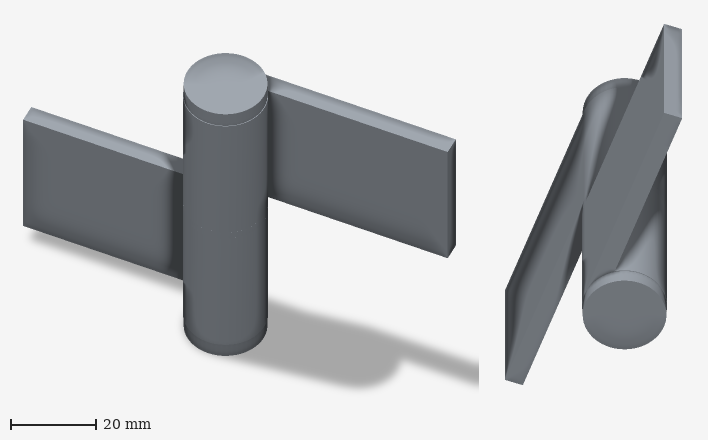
import cadquery as cq

leaf_span = 110.0
barrel_diameter = 20.0
cap_diameter = 19.7
leaf_thickness = 4.5
leaf_height = 36.5
washer_height = 2.1
cap_height = 4.0

barrel_radius = barrel_diameter / 2
leaf_reach = leaf_span / 2
upper_base = washer_height / 2
lower_base = -upper_base - leaf_height
top_cap_base = upper_base + leaf_height
bottom_cap_base = lower_base - cap_height


def make_disc(diameter, height, base):
    """Cylinder on the hinge axis, rising from the given base height."""
    return cq.Workplane("XY").workplane(offset=base).circle(diameter / 2).extrude(height)


def make_leaf(base, side):
    """Barrel with a flat plate tangent to its back; side is +1 for +X and -1 for -X."""
    barrel = make_disc(barrel_diameter, leaf_height, base)
    plate = (
        cq.Workplane("XY")
        .workplane(offset=base)
        .center(side * leaf_reach / 2, barrel_radius - leaf_thickness / 2)
        .rect(leaf_reach, leaf_thickness)
        .extrude(leaf_height)
    )
    return barrel.union(plate)


upper_leaf = make_leaf(upper_base, 1)
lower_leaf = make_leaf(lower_base, -1)

washer = make_disc(barrel_diameter, washer_height, -washer_height / 2)

caps = [make_disc(cap_diameter, cap_height, base) for base in (bottom_cap_base, top_cap_base)]

result = cq.Compound.makeCompound(
    [upper_leaf.val(), lower_leaf.val(), washer.val(), *[cap.val() for cap in caps]]
)